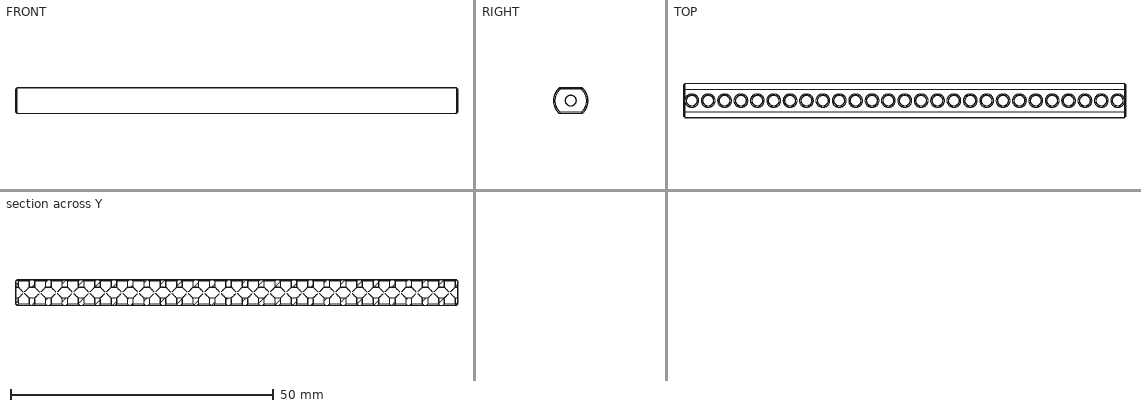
import cadquery as cq
import math

length = 84.4
rod_diameter = 6.6
height = 5.0
end_chamfer = 0.3

hole_count = 27
hole_pitch = length / hole_count
hole_diameter = 2.0
countersink_diameter = 2.6
countersink_angle = 90.0

bore_diameter = 2.0


def flatted_rod():
    """Round rod cut by two flats, with both ends chamfered all round."""
    rod_radius = rod_diameter / 2
    half_height = height / 2
    half_flat = math.sqrt(rod_radius**2 - half_height**2)
    profile = (
        cq.Workplane("YZ", origin=(-length / 2, 0, 0))
        .moveTo(-half_flat, -half_height)
        .lineTo(half_flat, -half_height)
        .threePointArc((rod_radius, 0), (half_flat, half_height))
        .lineTo(-half_flat, half_height)
        .threePointArc((-rod_radius, 0), (-half_flat, -half_height))
        .close()
    )
    return profile.extrude(length).faces("<X or >X").chamfer(end_chamfer)


def cut_axial_bore(body):
    bore = cq.Workplane("YZ", origin=(-length / 2, 0, 0)).circle(bore_diameter / 2).extrude(length)
    return body.cut(bore)


def cut_hole_row(body):
    """Vertical through holes, countersunk from the top and the bottom flat."""
    for side in (">Z", "<Z"):
        body = (
            body.faces(side)
            .workplane(origin=(0, 0, 0))
            .rarray(hole_pitch, 0.85, hole_count, 1)
            .cskHole(hole_diameter, countersink_diameter, countersink_angle)
        )
    return body


result = cut_hole_row(cut_axial_bore(flatted_rod()))